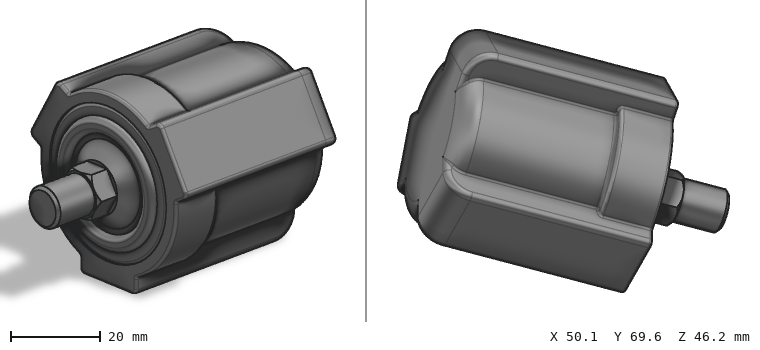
import cadquery as cq
import math


AXIS_START = (0, 0, 0)
AXIS_END = (0, 1, 0)
TOTAL_LENGTH = 69.6

HOUSING_LENGTH = 49.55
BODY_RADIUS = 20.05
BODY_END_FILLET = 4.9
COLLAR_RADIUS = 21.9
COLLAR_LENGTH = 12.8
STEP_FILLET = 0.85
ROOT_FILLET = 0.7
FRONT_FILLET = 0.8

RIB_COUNT = 3
RIB_PITCH = 2 * math.pi / RIB_COUNT
RIB_REACH = 24.3
RIB_WIDTH = 18.1
RIB_END_RADIUS = 6.4
RIB_EDGE_FILLET = 1.45

PLUG_RADIUS = 18.8
PLUG_DEPTH = COLLAR_LENGTH
PLUG_RIM_FILLET = 0.85
RING_HEIGHT = 1.45
RING_OUTER_RADIUS = 15.9
RING_INNER_RADIUS = 11.75
CONE_BASE_RADIUS = 10.45
CONE_TIP_RADIUS = 6.5
CONE_TIP_Y = -3.3
HEX_FLATS = 11.1
HEX_LENGTH = 5.6
STUD_RADIUS = 5.0
STUD_CHAMFER = 0.8

HEX_CORNER_RADIUS = HEX_FLATS / math.sqrt(3)
HEX_FRONT_Y = CONE_TIP_Y - HEX_LENGTH
STUD_FRONT_Y = HOUSING_LENGTH - TOTAL_LENGTH


def revolve_about_y(profile):
    """Close a half profile drawn as (radius, y) and revolve it about Y."""
    return profile.close().revolve(360, AXIS_START, AXIS_END)


def cylinder(radius, y_start, y_end):
    """Cylinder on the Y axis from y_start to y_end."""
    plane = cq.Workplane("XZ", origin=(0, y_end, 0))
    return plane.circle(radius).extrude(y_end - y_start)


def make_body():
    """Barrel with a rounded far end, stepping up to a thicker collar at the front."""
    barrel = cylinder(BODY_RADIUS, 0, HOUSING_LENGTH).faces(">Y").edges().fillet(BODY_END_FILLET)
    collar = cylinder(COLLAR_RADIUS, 0, COLLAR_LENGTH).faces(">Y").edges().fillet(STEP_FILLET)
    step_root = cq.NearestToPointSelector((0, COLLAR_LENGTH, 0))
    return barrel.union(collar).edges(step_root).fillet(STEP_FILLET)


def make_rib():
    """Rib pointing toward -Z, with a large radius at its far end and rounded outer edges."""
    rib = cq.Workplane("XY").box(
        RIB_WIDTH, HOUSING_LENGTH, RIB_REACH, centered=(True, False, False)
    )
    rib = rib.translate((0, 0, -RIB_REACH))
    rib = rib.edges(">Y and <Z").fillet(RIB_END_RADIUS)
    return rib.edges("|Y and <Z").fillet(RIB_EDGE_FILLET)


def rib_root_points():
    """Midpoint of the line where each rib side meets the collar."""
    half_angle = math.asin(RIB_WIDTH / 2 / COLLAR_RADIUS)
    points = []
    for index in range(RIB_COUNT):
        for side in (-1, 1):
            angle = index * RIB_PITCH + side * half_angle
            x = -COLLAR_RADIUS * math.sin(angle)
            z = -COLLAR_RADIUS * math.cos(angle)
            points.append((x, (COLLAR_LENGTH - STEP_FILLET) / 2, z))
    return points


def make_housing():
    """Body with its grip ribs and the front bore that takes the insert."""
    housing = make_body()
    for index in range(RIB_COUNT):
        housing = housing.union(
            make_rib().rotate(AXIS_START, AXIS_END, math.degrees(index * RIB_PITCH))
        )
    for point in rib_root_points():
        housing = housing.edges(cq.NearestToPointSelector(point)).fillet(ROOT_FILLET)
    housing = housing.faces("<Y").edges().fillet(FRONT_FILLET)
    return housing.cut(cylinder(PLUG_RADIUS, 0, PLUG_DEPTH))


def make_plug():
    """Round plug with a rounded rim, its front flush with the housing."""
    return cylinder(PLUG_RADIUS, 0, PLUG_DEPTH).faces("<Y").edges().fillet(PLUG_RIM_FILLET)


def make_ring():
    """Raised ring whose two sides are quarter rounds as high as the ring."""
    return revolve_about_y(
        cq.Workplane("XY")
        .moveTo(RING_INNER_RADIUS, PLUG_DEPTH)
        .lineTo(RING_INNER_RADIUS, 0)
        .radiusArc((RING_INNER_RADIUS + RING_HEIGHT, -RING_HEIGHT), -RING_HEIGHT)
        .lineTo(RING_OUTER_RADIUS - RING_HEIGHT, -RING_HEIGHT)
        .radiusArc((RING_OUTER_RADIUS, 0), -RING_HEIGHT)
        .lineTo(RING_OUTER_RADIUS, PLUG_DEPTH)
    )


def make_cone():
    """Cone rising inside the ring, from the plug face to the back of the hexagon."""
    return revolve_about_y(
        cq.Workplane("XY")
        .moveTo(0, 0)
        .lineTo(CONE_BASE_RADIUS, 0)
        .lineTo(CONE_TIP_RADIUS, CONE_TIP_Y)
        .lineTo(0, CONE_TIP_Y)
    )


def make_hexagon():
    """Hexagon with corners on the X axis and its front corners turned off at 45 degrees."""
    hexagon = cq.Workplane("XZ", origin=(0, CONE_TIP_Y, 0)).polygon(6, 2 * HEX_CORNER_RADIUS)
    hexagon = hexagon.extrude(HEX_LENGTH)
    turned = cylinder(HEX_CORNER_RADIUS, HEX_FRONT_Y, CONE_TIP_Y)
    turned = turned.faces("<Y").edges().chamfer(HEX_CORNER_RADIUS - HEX_FLATS / 2)
    return hexagon.intersect(turned)


def make_stud():
    """Round stud with a chamfered tip."""
    stud = cylinder(STUD_RADIUS, STUD_FRONT_Y, HEX_FRONT_Y)
    return stud.faces("<Y").edges().chamfer(STUD_CHAMFER)


def make_insert():
    """Plug, ring, cone, hexagon and stud in one piece."""
    return make_plug().union(make_ring()).union(make_cone()).union(make_hexagon()).union(make_stud())


housing = make_housing()
insert = make_insert()

result = cq.Compound.makeCompound([housing.val(), insert.val()])